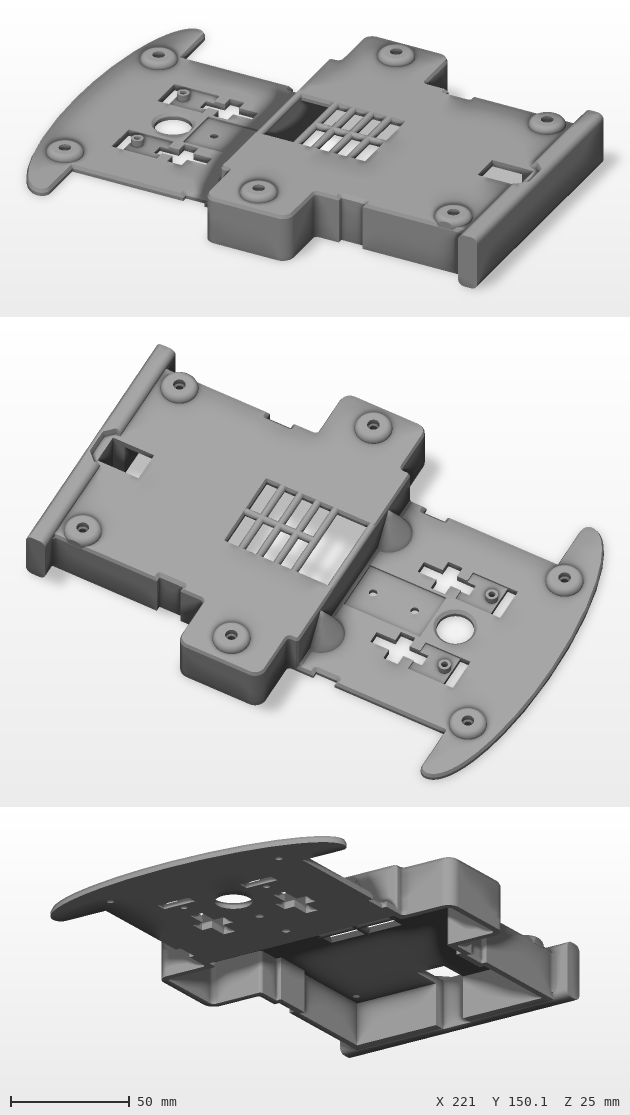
import cadquery as cq
import math


LENGTH = 221.0
HALF_WIDTH = 75.03
HEIGHT = 25.0

PLATE = 3.0
WALL = PLATE
BODY_HEIGHT = 22.0
BODY_FRONT = 95.0
BODY_HALF_WIDTH = 50.2
EDGE_SLOPE_HEIGHT = 1.5
EDGE_SLOPE_INSET = 0.77
EDGE_TAPER = math.degrees(math.atan(EDGE_SLOPE_INSET / EDGE_SLOPE_HEIGHT))
CORNER_CHAMFER = 1.0
FOOT_CHAMFER = 1.0
CORNER_FILLET = 1.5

NOSE_DEPTH = 21.0
NOSE_HALF_WIDTH = 74.3
NOSE_BACK = 25.0
NOSE_TIP_RADIUS = NOSE_BACK - NOSE_DEPTH

LOBE_FRONT = 100.0
LOBE_BACK = 140.1
LOBE_FILLET = 5.0

NOTCH_DEPTH = 2.5
NOTCH_FLARE_TAPER = 45.0
PLATE_NOTCH = (77.5, 87.7)
BODY_NOTCH = (151.4, 162.7)

BAR_FRONT = 212.0
BAR_HALF_LENGTH = 58.0
BAR_FILLET = 2.9
BAR_NOTCH_BACK = 217.7
BAR_NOTCH_HALF_WIDTH = 8.8
BAR_NOTCH_CORNER = 3.5
BAR_NOTCH_TAPER = 19.0

BOSS_DIAMETER = 16.0
BOSS_HEIGHT = HEIGHT - BODY_HEIGHT
BOSS_EDGE_RADIUS = 2.7
BOSS_SKIRT = 1.3
BOSS_RECESS_DIAMETER = 5.3
BOSS_RECESS_DEPTH = 2.7
SCREW_DIAMETER = 3.0
NOSE_BOSS = (17.7, 42.9)
LOBE_BOSS = (120.0, 63.0)
REAR_BOSS = (202.0, 42.9)

SENSOR_Y = 21.0
SEAT_FRONT = 32.5
SEAT_BACK = 54.0
SEAT_WIDTH = 15.7
SEAT_DEPTH = 1.0
SLOT_LENGTH = 4.9
POST_X = 40.7
POST_DIAMETER = 5.3
POST_BORE = 2.9
POST_TOP = 5.3
CROSS_X = 62.3
CROSS_LENGTH = 24.8
CROSS_ARM_WIDTH = 5.7
CROSS_BAR_WIDTH = 6.9
LENS_X = 46.9
LENS_DIAMETER = 16.0
LENS_CHAMFER = 1.3

BED_FRONT = 57.5
BED_WIDTH = 23.5
BED_DEPTH = 1.0
BED_HOLES_X = (66.3, 86.2)
BED_HOLE_DIAMETER = 3.5

CONE_X = 95.0
CONE_Y = 30.0
CONE_RADIUS = 10.2
CONE_HEIGHT = 16.4

WINDOW_BACK = 146.7
WINDOW_HALF_WIDTH = 18.0
ROD_DIAMETER = 3.3
ROD_FIRST_X = 114.3
ROD_PITCH = 8.5
ROD_COUNT = 4
ROD_Z = BODY_HEIGHT - ROD_DIAMETER / 2

OPENING_FRONT = 194.7
OPENING_BACK = 214.4
OPENING_WIDTH = 13.7


def block(x0, x1, half_width, z0, z1, y=0.0):
    """Box from x0 to x1 and z0 to z1, centred on the given y."""
    return (
        cq.Workplane("XY", origin=((x0 + x1) / 2, y, z0))
        .rect(x1 - x0, 2 * half_width)
        .extrude(z1 - z0)
    )


def cylinder(x, y, z0, z1, diameter):
    return cq.Workplane("XY", origin=(x, y, z0)).circle(diameter / 2).extrude(z1 - z0)


def slope_top(prism, height):
    """Raise the prism to the given height with its top edges sloping inward."""
    return prism.faces(">Z").wires().toPending().extrude(
        height - prism.val().BoundingBox().zmax, taper=EDGE_TAPER
    )


def edge_notches(x0, x1, height):
    """Pair of notches in the long edges, flared at the top."""
    straight = height - EDGE_SLOPE_HEIGHT
    notches = cq.Workplane("XY")
    for side in (-1, 1):
        y = side * BODY_HALF_WIDTH
        flare = (
            cq.Workplane("XY", origin=((x0 + x1) / 2, y, straight))
            .rect(x1 - x0, 2 * NOTCH_DEPTH)
            .extrude(EDGE_SLOPE_HEIGHT, taper=-NOTCH_FLARE_TAPER)
        )
        notches = notches.add(block(x0, x1, NOTCH_DEPTH, 0, straight, y).union(flare))
    return notches.combine()


def body_block(height, back, inset=0.0):
    """Body with its side lobes, all side faces moved inward by inset."""
    half_width = BODY_HALF_WIDTH - inset
    core = block(BODY_FRONT + inset, back, half_width, 0, height)
    lobes = block(LOBE_FRONT + inset, LOBE_BACK - inset, HALF_WIDTH - inset, 0, height)
    lobes = lobes.edges("|Z").fillet(LOBE_FILLET - inset)
    body = core.union(lobes)
    for x in (LOBE_FRONT + inset, LOBE_BACK - inset):
        for side in (-1, 1):
            corner = cq.selectors.NearestToPointSelector((x, side * half_width, height / 2))
            body = body.edges(corner).fillet(CORNER_FILLET)
    return body


def cross_rod(x):
    """Grille rod running across the window at x."""
    span = WINDOW_HALF_WIDTH + WALL / 2
    return cq.Workplane("XZ", origin=(x, span, ROD_Z)).circle(ROD_DIAMETER / 2).extrude(2 * span)


def make_plate():
    diagonal = NOSE_TIP_RADIUS * (1 - math.sqrt(0.5))
    nose = (
        cq.Workplane("XY")
        .moveTo(NOSE_DEPTH, NOSE_HALF_WIDTH)
        .ellipseArc(NOSE_HALF_WIDTH, NOSE_DEPTH, 0, 180, rotation_angle=90, startAtCurrent=True)
        .threePointArc(
            (NOSE_BACK - diagonal, diagonal - NOSE_HALF_WIDTH),
            (NOSE_BACK, NOSE_TIP_RADIUS - NOSE_HALF_WIDTH),
        )
        .lineTo(NOSE_BACK, NOSE_HALF_WIDTH - NOSE_TIP_RADIUS)
        .threePointArc(
            (NOSE_BACK - diagonal, NOSE_HALF_WIDTH - diagonal),
            (NOSE_DEPTH, NOSE_HALF_WIDTH),
        )
        .close()
        .extrude(PLATE - EDGE_SLOPE_HEIGHT)
    )
    deck = block(NOSE_DEPTH, BODY_FRONT + WALL, BODY_HALF_WIDTH, 0, PLATE - EDGE_SLOPE_HEIGHT)
    plate = slope_top(nose.union(deck), PLATE)
    return plate.cut(edge_notches(*PLATE_NOTCH, PLATE))


def make_body():
    shoulder = BODY_HEIGHT - EDGE_SLOPE_HEIGHT
    body = body_block(shoulder, BAR_FRONT + BAR_FILLET / 2)
    body = body.edges("|Z and <X").chamfer(CORNER_CHAMFER)
    body = slope_top(body, BODY_HEIGHT)
    body = body.cut(edge_notches(*BODY_NOTCH, BODY_HEIGHT))

    ceiling = BODY_HEIGHT - WALL
    cavity = body_block(ceiling, BAR_FRONT - WALL, WALL)
    notch_front, notch_back = BODY_NOTCH
    for side in (-1, 1):
        y = side * BODY_HALF_WIDTH
        cavity = cavity.cut(block(notch_front - WALL, notch_back + WALL, NOTCH_DEPTH + WALL, 0, ceiling, y))
    body = body.cut(cavity)

    window_length = WINDOW_BACK - BODY_FRONT
    opening = block(BODY_FRONT, WINDOW_BACK, WINDOW_HALF_WIDTH, ROD_Z, BODY_HEIGHT)
    opening = opening.union(block(BODY_FRONT + WALL, WINDOW_BACK, WINDOW_HALF_WIDTH, ceiling, ROD_Z))
    flare = (
        cq.Workplane("XY", origin=(BODY_FRONT + window_length / 2, 0, shoulder))
        .rect(window_length, 2 * WINDOW_HALF_WIDTH)
        .extrude(EDGE_SLOPE_HEIGHT, taper=-EDGE_TAPER)
    )
    return body.cut(opening).cut(flare).union(cross_rod(BODY_FRONT + ROD_DIAMETER / 2))


def make_wall_foot():
    """Sloped foot where the body wall meets the plate."""
    return (
        cq.Workplane("XZ", origin=(0, BODY_HALF_WIDTH - CORNER_CHAMFER, 0))
        .polyline(
            [
                (BODY_FRONT - FOOT_CHAMFER, PLATE),
                (BODY_FRONT, PLATE + FOOT_CHAMFER),
                (BODY_FRONT, PLATE),
            ]
        )
        .close()
        .extrude(2 * (BODY_HALF_WIDTH - CORNER_CHAMFER))
    )


def make_rear_bar():
    bar = block(BAR_FRONT, LENGTH, BAR_HALF_LENGTH, 0, HEIGHT)
    bar = bar.edges("|Y").fillet(BAR_FILLET)
    half_width = BAR_NOTCH_HALF_WIDTH
    notch = (
        cq.Workplane("XY", origin=(0, 0, BODY_HEIGHT))
        .polyline(
            [
                (BAR_FRONT - PLATE, half_width),
                (BAR_NOTCH_BACK - BAR_NOTCH_CORNER, half_width),
                (BAR_NOTCH_BACK, half_width - BAR_NOTCH_CORNER),
                (BAR_NOTCH_BACK, BAR_NOTCH_CORNER - half_width),
                (BAR_NOTCH_BACK - BAR_NOTCH_CORNER, -half_width),
                (BAR_FRONT - PLATE, -half_width),
            ]
        )
        .close()
        .extrude(BOSS_HEIGHT, taper=-BAR_NOTCH_TAPER)
    )
    bar = bar.cut(notch)

    z0 = BAR_FILLET
    z1 = BODY_HEIGHT - EDGE_SLOPE_HEIGHT
    x = BAR_FRONT - CORNER_FILLET
    for side in (-1, 1):
        y = side * (BODY_HALF_WIDTH + CORNER_FILLET)
        corner = block(x, BAR_FRONT, CORNER_FILLET / 2, z0, z1, y - side * CORNER_FILLET / 2)
        bar = bar.union(corner.cut(cylinder(x, y, z0, z1, 2 * CORNER_FILLET)))
    return bar


def boss_dome(x, y, base):
    dome = cylinder(x, y, base, base + BOSS_HEIGHT, BOSS_DIAMETER)
    dome = dome.faces(">Z").edges().fillet(BOSS_EDGE_RADIUS)
    return dome.union(cylinder(x, y, base - BOSS_SKIRT, base, BOSS_DIAMETER))


def boss_bore(x, y, base):
    top = base + BOSS_HEIGHT
    recess = cylinder(x, y, top - BOSS_RECESS_DEPTH, top, BOSS_RECESS_DIAMETER)
    return recess.union(cylinder(x, y, 0, top, SCREW_DIAMETER))


def add_bosses(part):
    limits = block(0, LENGTH, HALF_WIDTH, 0, HEIGHT).cut(
        block(LOBE_BACK, LENGTH, HALF_WIDTH, 0, HEIGHT).cut(
            block(LOBE_BACK, LENGTH, BODY_HALF_WIDTH, 0, HEIGHT)
        )
    )
    for (x, y), base in ((NOSE_BOSS, PLATE), (LOBE_BOSS, BODY_HEIGHT), (REAR_BOSS, BODY_HEIGHT)):
        for side in (-1, 1):
            part = part.union(boss_dome(x, side * y, base).intersect(limits))
            part = part.cut(boss_bore(x, side * y, base))
    return part


def add_sensor_seats(part):
    for y in (-SENSOR_Y, SENSOR_Y):
        part = part.cut(block(SEAT_FRONT, SEAT_BACK, SEAT_WIDTH / 2, PLATE - SEAT_DEPTH, PLATE, y))
        part = part.cut(block(SEAT_FRONT, SEAT_FRONT + SLOT_LENGTH, SEAT_WIDTH / 2, 0, PLATE, y))
        part = part.union(cylinder(POST_X, y, 0, POST_TOP, POST_DIAMETER))
        part = part.cut(cylinder(POST_X, y, 0, POST_TOP, POST_BORE))
        for length, width in ((CROSS_LENGTH, CROSS_ARM_WIDTH), (CROSS_BAR_WIDTH, SEAT_WIDTH)):
            part = part.cut(block(CROSS_X - length / 2, CROSS_X + length / 2, width / 2, 0, PLATE, y))
    return part


def cut_lens_hole(part):
    hole = cylinder(LENS_X, 0, 0, PLATE, LENS_DIAMETER)
    flare = cylinder(LENS_X, 0, 0, PLATE, LENS_DIAMETER + 2 * LENS_CHAMFER)
    flare = flare.faces("<Z").edges().chamfer(LENS_CHAMFER)
    flare = flare.translate((0, 0, PLATE - LENS_CHAMFER))
    return part.cut(hole).cut(flare)


def cut_bed(part):
    part = part.cut(block(BED_FRONT, BODY_FRONT - FOOT_CHAMFER, BED_WIDTH / 2, PLATE - BED_DEPTH, PLATE))
    for x in BED_HOLES_X:
        part = part.cut(cylinder(x, 0, 0, PLATE, BED_HOLE_DIAMETER))
    return part


def add_cones(part):
    for y in (-CONE_Y, CONE_Y):
        cone = cq.Solid.makeCone(CONE_RADIUS, 0, CONE_HEIGHT, pnt=cq.Vector(CONE_X, y, PLATE))
        front = block(0, BODY_FRONT + WALL / 2, HALF_WIDTH, 0, HEIGHT)
        part = part.union(front.intersect(cq.Workplane(cone)))
    return part


def add_grille(part):
    for index in range(ROD_COUNT):
        part = part.union(cross_rod(ROD_FIRST_X + index * ROD_PITCH))
    spine = (
        cq.Workplane("YZ", origin=(ROD_FIRST_X, 0, ROD_Z))
        .circle(ROD_DIAMETER / 2)
        .extrude(WINDOW_BACK + WALL / 2 - ROD_FIRST_X)
    )
    return part.union(spine)


result = make_plate().union(make_body()).union(make_wall_foot()).union(make_rear_bar())
result = add_cones(result)
result = add_bosses(result)
result = add_sensor_seats(result)
result = cut_lens_hole(result)
result = cut_bed(result)
result = add_grille(result)
result = result.cut(block(OPENING_FRONT, OPENING_BACK, OPENING_WIDTH / 2, 0, BODY_HEIGHT))